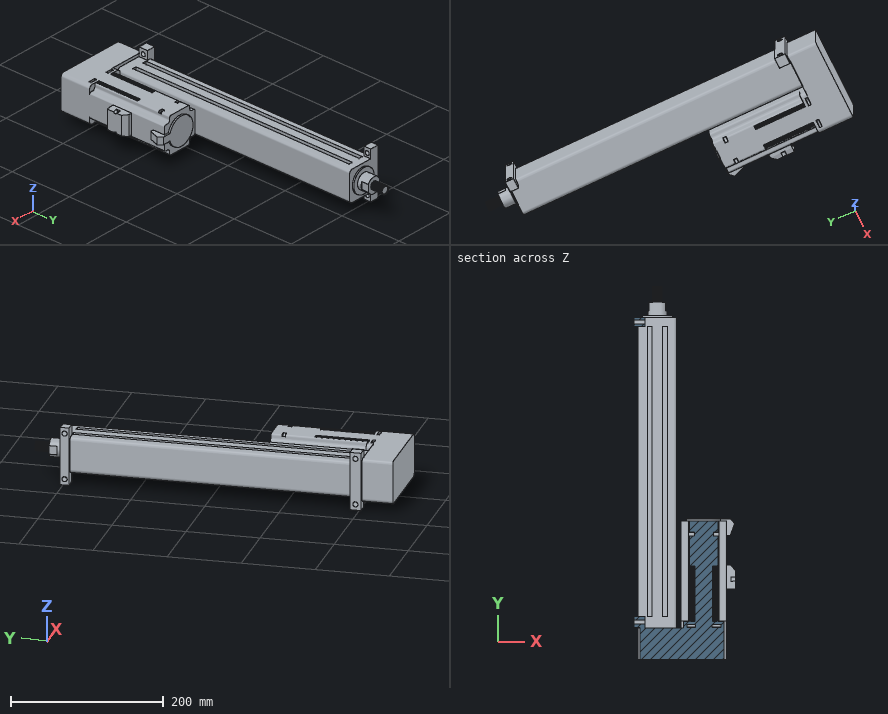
import cadquery as cq
import math

ROD_TIP_Y = 488.0

GEARBOX_LEFT = -25.5
GEARBOX_RIGHT = 91.0
GEARBOX_HEIGHT = 60.0
GEARBOX_TOP_Y = 41.5
GEARBOX_LEFT_RADIUS = 5.0
GEARBOX_RIGHT_RADIUS = 6.0

TUBE_SIZE = 50.8
TUBE_CORNER_RADIUS = 5.5
REAR_PLATE_TOP_Y = 56.5
TUBE_TOP_Y = 436.0
HEAD_TOP_Y = 448.0
SLOT_SPACING = 20.0
SLOT_WIDTH = 6.5
SLOT_DEPTH = 7.0

BAR_LEFT = -30.5
BAR_WIDTH = 14.5
BAR_HEIGHT = 80.0
BAR_HOLE_DIAMETER = 7.0
BAR_HOLE_SPACING = 63.5

COLLAR_DIAMETER = 40.0
COLLAR_TOP_Y = 450.5
ROD_DIAMETER = 25.5
ROD_TOP_Y = 468.0
FLATS_START_Y = 457.0
ACROSS_FLATS = 22.5
THREAD_DIAMETER = 12.5
THREAD_RIDGES = 14
THREAD_DEPTH = 0.9

MOTOR_SIZE = GEARBOX_HEIGHT
MOTOR_X = GEARBOX_RIGHT - MOTOR_SIZE / 2
MOTOR_FLAT_WIDTH = 33.5
MOTOR_FLAT_HALF = MOTOR_FLAT_WIDTH / 2
MOTOR_EDGE_RADIUS = 3.0
SCOOP_RADIUS = 4.5
FLANGE_TOP_Y = 50.5
FLANGE_CORNER_RADIUS = 6.0
FINS_TOP_Y = 122.5
ENCODER_START_Y = 162.0
MOTOR_TOP_Y = 181.5
END_DISC_DIAMETER = 46.0
END_DISC_TOP_Y = 184.5

FIN_GROOVE_COUNT = 3
FIN_GROOVE_WIDTH = 1.0
FIN_GROOVE_PITCH = 2.0
FIN_GROOVE_DEPTH = 1.5

FLANGE_RECESS_DIAMETER = 10.5
FLANGE_RECESS_START_Y = 42.5
FLANGE_RECESS_LENGTH = 3.5
ENCODER_RECESS_DIAMETER = 8.0
ENCODER_RECESS_LENGTH = 4.5
RECESS_SPACING = 33.0

ENCODER_PLUG_HEIGHT = 11.5
ENCODER_PLUG_LEFT = 82.5
ENCODER_PLUG_SHOULDER = 95.5
ENCODER_PLUG_TIP_X = 101.5
ENCODER_PLUG_TIP_Y = 178.0
POWER_PLUG_HEIGHT = 33.5
POWER_PLUG_RIGHT = 102.5
POWER_PLUG_BOTTOM_Y = 91.5
POWER_PLUG_TOP_Y = 124.0
POWER_PLUG_SHOULDER = 96.0
POWER_PLUG_CHAMFER_Y = 116.5
POWER_PLUG_END_HEIGHT = 31.0
PLUG_GROOVE_Y = 105.5
PLUG_GROOVE_RADIUS = 3.0
CABLE_SLOT_X = 95.0
CABLE_SLOT_WIDTH = 7.5
CABLE_SLOT_DEPTH = 5.0


def block(left, right, bottom, top, height):
    """Box between two X and two Y values, centred on Z = 0."""
    box = cq.Workplane("XY").box(right - left, top - bottom, height)
    return box.translate(((left + right) / 2, (bottom + top) / 2, 0))


def cylinder(x, z, diameter, bottom, top):
    """Cylinder along Y between two Y values."""
    plane = cq.Workplane("XZ", origin=(x, bottom, z))
    return plane.circle(diameter / 2).extrude(bottom - top)


def gearbox():
    box = block(GEARBOX_LEFT, GEARBOX_RIGHT, 0, GEARBOX_TOP_Y, GEARBOX_HEIGHT)
    box = box.edges("|Y and <X").fillet(GEARBOX_LEFT_RADIUS)
    return box.edges("|Y and >X").fillet(GEARBOX_RIGHT_RADIUS)


def tube():
    half = TUBE_SIZE / 2
    body = block(-half, half, GEARBOX_TOP_Y, HEAD_TOP_Y, TUBE_SIZE)
    body = body.edges("|Y").fillet(TUBE_CORNER_RADIUS)
    for x in (-SLOT_SPACING / 2, SLOT_SPACING / 2):
        slot = block(x - SLOT_WIDTH / 2, x + SLOT_WIDTH / 2, REAR_PLATE_TOP_Y, TUBE_TOP_Y, SLOT_DEPTH)
        body = body.cut(slot.translate((0, 0, half - SLOT_DEPTH / 2)))
    return body


def mounting_bar(bottom, top):
    bar = block(BAR_LEFT, BAR_LEFT + BAR_WIDTH, bottom, top, BAR_HEIGHT)
    holes = (
        cq.Workplane("YZ", origin=(BAR_LEFT, (bottom + top) / 2, 0))
        .pushPoints([(0, -BAR_HOLE_SPACING / 2), (0, BAR_HOLE_SPACING / 2)])
        .circle(BAR_HOLE_DIAMETER / 2)
        .extrude(BAR_WIDTH)
    )
    return bar.cut(holes)


def motor_section():
    """Closed outline of the motor: four equal sides, each ending in a scooped corner."""
    half = MOTOR_SIZE / 2
    step = MOTOR_FLAT_HALF + MOTOR_EDGE_RADIUS
    ledge = half - MOTOR_EDGE_RADIUS
    inner = step + SCOOP_RADIUS
    edge_mid = MOTOR_EDGE_RADIUS * math.sqrt(0.5)
    scoop_mid = inner - SCOOP_RADIUS * math.sqrt(0.5)
    corner = [
        (MOTOR_FLAT_HALF, half),
        (MOTOR_FLAT_HALF + edge_mid, ledge + edge_mid),
        (step, ledge),
        (step, inner),
        (scoop_mid, scoop_mid),
        (inner, step),
        (ledge, step),
        (ledge + edge_mid, MOTOR_FLAT_HALF + edge_mid),
        (half, MOTOR_FLAT_HALF),
    ]
    outline = cq.Workplane("XZ").moveTo(-MOTOR_FLAT_HALF, half)
    points = corner
    for _ in range(4):
        outline = outline.lineTo(*points[0])
        outline = outline.threePointArc(points[1], points[2])
        outline = outline.lineTo(*points[3])
        outline = outline.threePointArc(points[4], points[5])
        outline = outline.lineTo(*points[6])
        outline = outline.threePointArc(points[7], points[8])
        points = [(z, -x) for x, z in points]
    return outline.close()


def motor_body():
    body = motor_section().extrude(FLANGE_TOP_Y - MOTOR_TOP_Y)
    return body.translate((MOTOR_X, FLANGE_TOP_Y, 0))


def motor_flange():
    half = MOTOR_SIZE / 2
    flange = block(MOTOR_X - half, MOTOR_X + half, GEARBOX_TOP_Y, FLANGE_TOP_Y, MOTOR_SIZE)
    return flange.edges("|Y").fillet(FLANGE_CORNER_RADIUS)


def fin_grooves():
    """Fine grooves along the top and bottom of the motor, inside the edges of the flats."""
    grooves = cq.Workplane("XY")
    for index in range(FIN_GROOVE_COUNT):
        x = MOTOR_FLAT_HALF - FIN_GROOVE_WIDTH / 2 - index * FIN_GROOVE_PITCH
        for side in (-1, 1):
            for face in (-1, 1):
                groove = block(
                    MOTOR_X + side * x - FIN_GROOVE_WIDTH / 2,
                    MOTOR_X + side * x + FIN_GROOVE_WIDTH / 2,
                    FLANGE_TOP_Y,
                    FINS_TOP_Y,
                    FIN_GROOVE_DEPTH,
                )
                z = face * (MOTOR_SIZE - FIN_GROOVE_DEPTH) / 2
                grooves = grooves.add(groove.translate((0, 0, z)))
    return grooves.combine()


def screw_recesses(diameter, bottom, top):
    """Round recesses along Y that break through the top and bottom of the motor."""
    recesses = cq.Workplane("XY")
    for side in (-1, 1):
        for face in (-1, 1):
            x = MOTOR_X + side * RECESS_SPACING / 2
            recesses = recesses.add(cylinder(x, face * MOTOR_SIZE / 2, diameter, bottom, top))
    return recesses.combine()


def encoder_plug():
    outline = [
        (ENCODER_PLUG_LEFT, ENCODER_START_Y),
        (ENCODER_PLUG_SHOULDER, ENCODER_START_Y),
        (ENCODER_PLUG_TIP_X, ENCODER_PLUG_TIP_Y),
        (ENCODER_PLUG_SHOULDER, END_DISC_TOP_Y),
        (ENCODER_PLUG_LEFT, END_DISC_TOP_Y),
    ]
    return cq.Workplane("XY").polyline(outline).close().extrude(ENCODER_PLUG_HEIGHT / 2, both=True)


def power_plug():
    side_outline = [
        (GEARBOX_RIGHT, POWER_PLUG_BOTTOM_Y),
        (POWER_PLUG_RIGHT, POWER_PLUG_BOTTOM_Y),
        (POWER_PLUG_RIGHT, POWER_PLUG_CHAMFER_Y),
        (POWER_PLUG_SHOULDER, POWER_PLUG_TOP_Y),
        (GEARBOX_RIGHT, POWER_PLUG_TOP_Y),
    ]
    plug = cq.Workplane("XY").polyline(side_outline).close().extrude(POWER_PLUG_HEIGHT / 2, both=True)
    taper_outline = [
        (GEARBOX_RIGHT, POWER_PLUG_HEIGHT / 2),
        (POWER_PLUG_SHOULDER, POWER_PLUG_HEIGHT / 2),
        (POWER_PLUG_RIGHT, POWER_PLUG_END_HEIGHT / 2),
        (POWER_PLUG_RIGHT, -POWER_PLUG_END_HEIGHT / 2),
        (POWER_PLUG_SHOULDER, -POWER_PLUG_HEIGHT / 2),
        (GEARBOX_RIGHT, -POWER_PLUG_HEIGHT / 2),
    ]
    taper = cq.Workplane("XZ", origin=(0, POWER_PLUG_BOTTOM_Y, 0)).polyline(taper_outline).close()
    plug = plug.intersect(taper.extrude(POWER_PLUG_BOTTOM_Y - POWER_PLUG_TOP_Y))
    for face in (-1, 1):
        groove = (
            cq.Workplane("YZ", origin=(POWER_PLUG_SHOULDER, PLUG_GROOVE_Y, face * POWER_PLUG_HEIGHT / 2))
            .circle(PLUG_GROOVE_RADIUS)
            .extrude(POWER_PLUG_RIGHT - POWER_PLUG_SHOULDER)
        )
        plug = plug.cut(groove)
    recess_top_y = POWER_PLUG_BOTTOM_Y + CABLE_SLOT_DEPTH
    recess = block(GEARBOX_RIGHT, CABLE_SLOT_X, POWER_PLUG_BOTTOM_Y, recess_top_y, CABLE_SLOT_WIDTH)
    recess = recess.union(cylinder(CABLE_SLOT_X, 0, CABLE_SLOT_WIDTH, POWER_PLUG_BOTTOM_Y, recess_top_y))
    return plug.cut(recess)


def motor():
    body = motor_body().union(motor_flange()).cut(fin_grooves())
    flange_recess_top = FLANGE_RECESS_START_Y + FLANGE_RECESS_LENGTH
    body = body.cut(screw_recesses(FLANGE_RECESS_DIAMETER, FLANGE_RECESS_START_Y, flange_recess_top))
    encoder_recess_top = ENCODER_START_Y + ENCODER_RECESS_LENGTH
    body = body.cut(screw_recesses(ENCODER_RECESS_DIAMETER, ENCODER_START_Y, encoder_recess_top))
    body = body.union(cylinder(MOTOR_X, 0, END_DISC_DIAMETER, MOTOR_TOP_Y, END_DISC_TOP_Y))
    return body.union(encoder_plug()).union(power_plug())


def make_housing():
    body = gearbox().union(tube())
    body = body.union(mounting_bar(GEARBOX_TOP_Y, REAR_PLATE_TOP_Y))
    body = body.union(mounting_bar(TUBE_TOP_Y, HEAD_TOP_Y))
    body = body.union(cylinder(0, 0, COLLAR_DIAMETER, HEAD_TOP_Y, COLLAR_TOP_Y))
    return body.union(motor())


def thread():
    """Threaded rod end, as a row of V-shaped ridges."""
    crest = THREAD_DIAMETER / 2
    root = crest - THREAD_DEPTH
    pitch = (ROD_TIP_Y - ROD_TOP_Y) / THREAD_RIDGES
    outline = cq.Workplane("XY").moveTo(0, ROD_TOP_Y).lineTo(crest, ROD_TOP_Y)
    for index in range(THREAD_RIDGES):
        crest_y = ROD_TOP_Y + (index + 1) * pitch
        outline = outline.lineTo(root, crest_y - pitch / 2).lineTo(crest, crest_y)
    outline = outline.lineTo(0, ROD_TIP_Y).close()
    return outline.revolve(360, (0, 0, 0), (0, 1, 0))


def make_rod():
    rod = cylinder(0, 0, ROD_DIAMETER, COLLAR_TOP_Y, ROD_TOP_Y)
    half_flats = ACROSS_FLATS / 2
    radius = ROD_DIAMETER / 2
    for left, right in ((-radius, -half_flats), (half_flats, radius)):
        rod = rod.cut(block(left, right, FLATS_START_Y, ROD_TOP_Y, ROD_DIAMETER))
    return rod.union(thread())


housing = make_housing()
rod = make_rod()
result = cq.Compound.makeCompound([housing.val(), rod.val()])